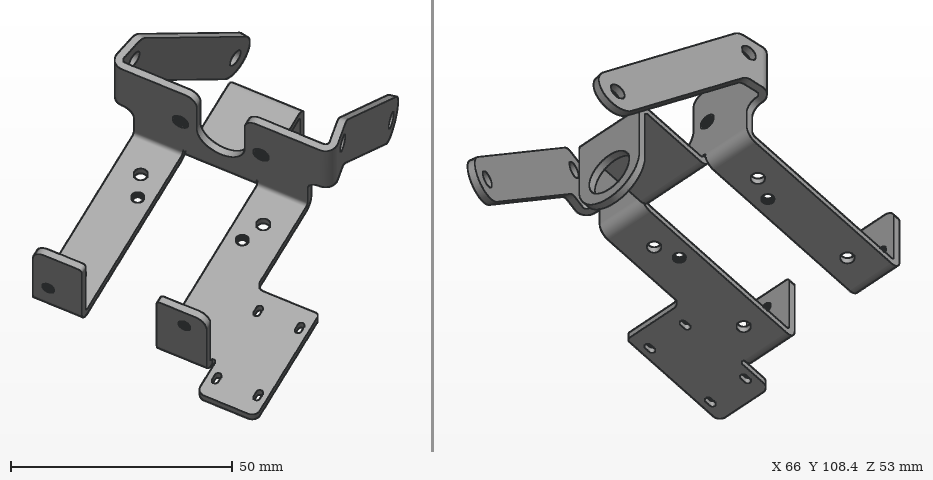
import cadquery as cq
import math


sheet = 2.0
bend_inner = 1.0
bend_outer = bend_inner + sheet

large_thread_major = 4.0
large_thread_minor = 3.3
large_thread_turns = 4
small_thread_major = 3.0
small_thread_minor = 2.5
small_thread_turns = 4

wall_half_width = 28.0
wall_top = 25.0
wall_lower_half_width = 22.0
shoulder_z = 11.0
shoulder_fillet = 2.9
notch_radius = 6.1
notch_centre_z = 13.8
notch_corner = 2.9
wall_hole_x = 10.2
wall_hole_z = 13.9

arm_lean = 10.0
arm_slope = 48.0
arm_end_radius = 5.5
arm_tip_y = 50.4
arm_bottom_z = -28.0
arm_top_fillet = 3.8
arm_lower_fillet = 2.9
arm_hole_diameter = 4.0
arm_upper_hole_y = 7.3
arm_upper_hole_z = 20.1

ring_radius = 9.0
ring_hole_radius = 6.0
ring_centre_z = -15.9
ring_back_y = 24.1

left_strip_inner_x = 9.5
right_strip_inner_x = 9.3
strip_front_y = -51.0
tab_top = 20.1
tab_outer_corner = 2.9
tab_inner_corner = 1.0
motor_hole_x = 15.5
motor_hole_spacing = 31.0
motor_hole_back_y = -9.4
motor_hole_diameter = 3.3
strip_screw_x = 13.2
strip_screw_y = -15.5
left_tab_screw = (-18.1, 7.9)
right_tab_screw = (16.4, 15.0)

plate_right_x = 38.0
plate_left_x = 23.0
plate_back_y = -26.0
plate_front_y = -58.0
plate_inner_fillet = 2.0
plate_front_corner = 2.0
plate_back_corner = 1.0
relief_fillet = 0.7
slot_first_x = 25.3
slot_spacing_x = 10.5
slot_first_y = -31.4
slot_spacing_y = 20.9
slot_length = 3.0
slot_width = 1.5

bend_line_z = bend_outer
strip_right_x = wall_lower_half_width
strip_left_x = -wall_lower_half_width
strip_back_y = -bend_inner
strip_bend_y = strip_front_y + bend_outer
arm_angle = math.radians(arm_lean)


def bend(plane, centre, start, sweep, length):
    """Round bend: a ring sector about `centre`, angles in degrees, extruded along the plane normal."""
    def spot(radius, degrees):
        angle = math.radians(degrees)
        return (centre[0] + radius * math.cos(angle), centre[1] + radius * math.sin(angle))

    middle = start + sweep / 2
    end = start + sweep
    return (
        plane.moveTo(*spot(bend_inner, start))
        .lineTo(*spot(bend_outer, start))
        .threePointArc(spot(bend_outer, middle), spot(bend_outer, end))
        .lineTo(*spot(bend_inner, end))
        .threePointArc(spot(bend_inner, middle), spot(bend_inner, start))
        .close()
        .extrude(length)
    )


def box(x_range, y_range, z_range):
    """Box between pairs of X, Y and Z limits."""
    sizes = [high - low for low, high in (x_range, y_range, z_range)]
    corner = (x_range[0], y_range[0], z_range[0])
    return cq.Workplane("XY").box(*sizes, centered=False).translate(corner)


def disc_y(radius, centre_z, face_y):
    """Disc on X = 0 filling the sheet whose front face is at face_y."""
    return cq.Workplane("XZ", origin=(0, face_y, centre_z)).circle(radius).extrude(-sheet)


def near(x, y, z):
    """Selector for the edge nearest to a point."""
    return cq.selectors.NearestToPointSelector((x, y, z))


def thread_cutter(major, minor, turns):
    """Cutter for a threaded hole through the sheet, along +Z from Z = 0, one ring groove per turn."""
    pitch = sheet / turns
    profile = cq.Workplane("XZ").lineTo(major / 2, 0)
    for turn in range(turns):
        profile = profile.lineTo(minor / 2, (turn + 0.5) * pitch)
        profile = profile.lineTo(major / 2, (turn + 1) * pitch)
    return profile.lineTo(0, sheet).close().revolve(360, (0, 0, 0), (0, 1, 0))


large_thread = thread_cutter(large_thread_major, large_thread_minor, large_thread_turns)
small_thread = thread_cutter(small_thread_major, small_thread_minor, small_thread_turns)


def tap_y(body, points, cutter, face_y):
    """Cut threaded holes along Y at (x, z) points into the sheet whose front face is at face_y."""
    turned = cutter.rotate((0, 0, 0), (1, 0, 0), -90)
    for x, z in points:
        body = body.cut(turned.translate((x, face_y, z)))
    return body


def tap_z(body, points, cutter):
    """Cut threaded holes along Z at (x, y) points into the floor."""
    for x, y in points:
        body = body.cut(cutter.translate((x, y, 0)))
    return body


def make_wall():
    """Upright wall with an open round-bottomed notch and two holes."""
    flat_half_width = wall_half_width - bend_outer
    upper = box((-flat_half_width, flat_half_width), (0, sheet), (shoulder_z, wall_top))
    lower = box((-wall_lower_half_width, wall_lower_half_width), (0, sheet), (bend_line_z, shoulder_z))
    wall = upper.union(lower)
    for side in (-1, 1):
        corner = near(side * wall_lower_half_width, sheet / 2, shoulder_z)
        wall = wall.edges("|Y").edges(corner).fillet(shoulder_fillet)
    notch = box((-notch_radius, notch_radius), (0, sheet), (notch_centre_z, wall_top))
    wall = wall.cut(notch).cut(disc_y(notch_radius, notch_centre_z, 0))
    for side in (-1, 1):
        corner = near(side * notch_radius, sheet / 2, wall_top)
        wall = wall.edges("|Y").edges(corner).fillet(notch_corner)
    holes = [(-wall_hole_x, wall_hole_z), (wall_hole_x, wall_hole_z)]
    return tap_y(wall, holes, large_thread, 0)


def make_left_arm():
    """Left arm and its bend, leaning inward toward the back."""
    axis_x = -wall_half_width + bend_outer
    axis_y = bend_outer
    corner = bend(
        cq.Workplane("XY", origin=(0, 0, shoulder_z)),
        (axis_x, axis_y), 270, -90 - arm_lean, wall_top - shoulder_z,
    )

    outward = (-math.cos(arm_angle), math.sin(arm_angle), 0)
    along = (math.sin(arm_angle), math.cos(arm_angle), 0)
    start_x = axis_x + bend_outer * outward[0]
    start_y = axis_y + bend_outer * outward[1]
    arm_plane = cq.Plane(origin=(start_x, start_y, 0), xDir=(-along[0], -along[1], 0), normal=outward)

    end_reach = (arm_tip_y - start_y) / math.cos(arm_angle) - arm_end_radius
    end_z = arm_bottom_z + arm_end_radius
    slope = math.radians(arm_slope)
    across = (arm_end_radius * math.sin(slope), arm_end_radius * math.cos(slope))
    upper_end = (end_reach + across[0], end_z + across[1])
    lower_end = (end_reach - across[0], end_z - across[1])
    tip = (end_reach + arm_end_radius * math.cos(slope), end_z - arm_end_radius * math.sin(slope))
    top_corner = upper_end[0] - (wall_top - upper_end[1]) / math.tan(slope)
    lower_corner = lower_end[0] - (shoulder_z - lower_end[1]) / math.tan(slope)

    arm = (
        cq.Workplane(arm_plane)
        .moveTo(0, shoulder_z)
        .lineTo(0, wall_top)
        .lineTo(-top_corner, wall_top)
        .lineTo(-upper_end[0], upper_end[1])
        .threePointArc((-tip[0], tip[1]), (-lower_end[0], lower_end[1]))
        .lineTo(-lower_corner, shoulder_z)
        .close()
        .extrude(-sheet)
    )
    for reach, height, radius in (
        (top_corner, wall_top, arm_top_fillet),
        (lower_corner, shoulder_z, arm_lower_fillet),
    ):
        spot = arm_plane.toWorldCoords((-reach, height, -sheet / 2)).toTuple()
        arm = arm.edges(near(*spot)).fillet(radius)

    upper_hole_reach = (arm_upper_hole_y - start_y) / math.cos(arm_angle)
    holes = (
        cq.Workplane(arm_plane)
        .pushPoints([(-upper_hole_reach, arm_upper_hole_z), (-end_reach, end_z)])
        .circle(arm_hole_diameter / 2)
        .extrude(-sheet)
    )
    return corner.union(arm.cut(holes))


def make_ring_tab():
    """Tab bent back from the wall foot, then down into a ring."""
    width = 2 * ring_radius
    section = cq.Workplane("YZ", origin=(-ring_radius, 0, 0))
    front_axis_y = sheet + bend_inner
    back_axis_y = ring_back_y - bend_outer
    back_axis_z = sheet - bend_outer
    front_bend = bend(section, (front_axis_y, bend_line_z), 180, 90, width)
    shelf = box((-ring_radius, ring_radius), (front_axis_y, back_axis_y), (0, sheet))
    back_bend = bend(section, (back_axis_y, back_axis_z), 0, 90, width)
    ring_front_y = ring_back_y - sheet
    leg = box((-ring_radius, ring_radius), (ring_front_y, ring_back_y), (ring_centre_z, back_axis_z))
    disc = disc_y(ring_radius, ring_centre_z, ring_front_y)
    hole = disc_y(ring_hole_radius, ring_centre_z, ring_front_y)
    return front_bend.union(shelf).union(back_bend).union(leg.union(disc).cut(hole))


def make_strip(x_range, left_corner, right_corner, tab_screw):
    """Floor strip bent forward from the wall foot, with an upright front tab."""
    left_x, right_x = x_range
    width = right_x - left_x
    section = cq.Workplane("YZ", origin=(left_x, 0, 0))
    back_bend = bend(section, (strip_back_y, bend_line_z), 270, 90, width)
    floor = box(x_range, (strip_bend_y, strip_back_y), (0, sheet))
    front_bend = bend(section, (strip_bend_y, bend_line_z), 180, 90, width)
    tab = box(x_range, (strip_front_y, strip_front_y + sheet), (bend_line_z, tab_top))
    tab = tab.edges("|Y and >Z and <X").fillet(left_corner)
    tab = tab.edges("|Y and >Z and >X").fillet(right_corner)
    tab = tap_y(tab, [tab_screw], small_thread, strip_front_y)
    return back_bend.union(floor).union(front_bend).union(tab)


def make_side_plate():
    """Slotted plate beside the right strip, level with the floor."""
    plate = (
        cq.Workplane("XY")
        .moveTo(strip_right_x, plate_back_y + plate_inner_fillet)
        .radiusArc((strip_right_x + plate_inner_fillet, plate_back_y), -plate_inner_fillet)
        .lineTo(plate_right_x, plate_back_y)
        .lineTo(plate_right_x, plate_front_y)
        .lineTo(plate_left_x, plate_front_y)
        .lineTo(plate_left_x, strip_bend_y)
        .lineTo(strip_right_x, strip_bend_y)
        .close()
        .extrude(sheet)
    )
    relief = near(plate_left_x, strip_bend_y, sheet / 2)
    plate = plate.edges("|Z").edges(relief).fillet(relief_fillet)
    plate = plate.edges("|Z and <Y").fillet(plate_front_corner)
    plate = plate.edges("|Z and >X").edges(">Y").fillet(plate_back_corner)
    slots = (
        cq.Workplane("XY")
        .pushPoints([
            (slot_first_x + column * slot_spacing_x, slot_first_y - row * slot_spacing_y)
            for column in (0, 1)
            for row in (0, 1)
        ])
        .slot2D(slot_length, slot_width, 90)
        .extrude(sheet)
    )
    return plate.cut(slots)


left_arm = make_left_arm()
left_strip = make_strip(
    (strip_left_x, -left_strip_inner_x), tab_outer_corner, tab_inner_corner, left_tab_screw
)
right_strip = make_strip(
    (right_strip_inner_x, strip_right_x), tab_inner_corner, tab_outer_corner, right_tab_screw
)

result = make_wall()
for piece in (left_arm, left_arm.mirror("YZ"), make_ring_tab(), left_strip, right_strip, make_side_plate()):
    result = result.union(piece)

motor_holes = [
    (side * motor_hole_x, motor_hole_back_y - row * motor_hole_spacing)
    for side in (-1, 1)
    for row in (0, 1)
]
strip_screws = [(-strip_screw_x, strip_screw_y), (strip_screw_x, strip_screw_y)]
drills = cq.Workplane("XY").pushPoints(motor_holes).circle(motor_hole_diameter / 2).extrude(sheet)
result = result.cut(drills)
result = tap_z(result, strip_screws, small_thread)